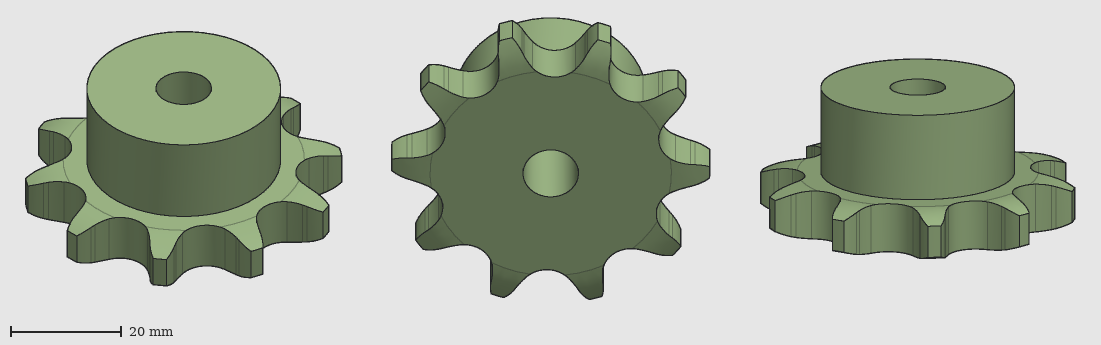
import cadquery as cq
import math


teeth = 10
outer_diameter = 57.5
chain_pitch = 15.85
roller_diameter = 10.2
seat_diameter = 10.3
plate_thickness = 9.1
hub_diameter = 35.0
total_height = 25.0
bore_diameter = 10.0
relief_diameter = 43.6
relief_depth = 1.6

working_center_factor = 0.8
topping_center_factor = 1.4

seat_angle = math.radians(35 + 60 / teeth)
working_angle = math.radians(18 - 56 / teeth)

half_step = math.pi / teeth
outer_radius = outer_diameter / 2
relief_radius = relief_diameter / 2
pitch_radius = chain_pitch / (2 * math.sin(half_step))
seat_radius = seat_diameter / 2


def polar(radius, angle):
    """Vector in the XY plane with the given length and direction."""
    return cq.Vector(radius * math.cos(angle), radius * math.sin(angle), 0)


def flank_points():
    """Right-hand flank of a gap centred on +Y, from the seat end to the tooth tip."""
    gap_center = cq.Vector(0, pitch_radius, 0)
    seat_end = gap_center + polar(seat_radius, -seat_angle)

    working_offset = working_center_factor * roller_diameter
    working_center = gap_center - polar(working_offset, -seat_angle)
    working_radius = working_offset + seat_radius
    flat_angle = working_angle - seat_angle
    working_middle = working_center + polar(working_radius, flat_angle - working_angle / 2)
    working_end = working_center + polar(working_radius, flat_angle)

    topping_center = gap_center + polar(topping_center_factor * roller_diameter, -half_step)
    normal = polar(1, flat_angle)
    topping_radius = (topping_center - working_end).dot(normal)
    flat_end = topping_center - normal * topping_radius

    center_distance = topping_center.Length
    center_angle = math.atan2(topping_center.y, topping_center.x)
    tip_offset = math.acos(
        (outer_radius**2 + center_distance**2 - topping_radius**2) / (2 * outer_radius * center_distance)
    )
    tip = polar(outer_radius, center_angle + tip_offset)
    chord_middle = (flat_end + tip) * 0.5
    topping_middle = topping_center + (chord_middle - topping_center).normalized() * topping_radius

    return seat_end, working_middle, working_end, flat_end, topping_middle, tip


def mirrored(point):
    """Point reflected across the Y axis."""
    return cq.Vector(-point.x, point.y, 0)


def tooth_gap():
    """Cutter for one gap centred on +Y, open beyond the outer circle."""
    seat_end, working_middle, working_end, flat_end, topping_middle, tip = flank_points()
    seat_bottom = cq.Vector(0, pitch_radius - seat_radius, 0)
    beyond_tips = cq.Vector(0, outer_radius + seat_radius, 0)
    return (
        cq.Workplane("XY")
        .moveTo(-tip.x, tip.y)
        .threePointArc(mirrored(topping_middle), mirrored(flat_end))
        .lineTo(-working_end.x, working_end.y)
        .threePointArc(mirrored(working_middle), mirrored(seat_end))
        .threePointArc(seat_bottom, seat_end)
        .threePointArc(working_middle, working_end)
        .lineTo(flat_end.x, flat_end.y)
        .threePointArc(topping_middle, tip)
        .threePointArc(beyond_tips, mirrored(tip))
        .close()
        .extrude(plate_thickness)
    )


def plate_blank():
    """Disc whose two faces curve inwards, tangentially, towards the rim."""
    relief_width = outer_radius - relief_radius
    curve_radius = (relief_width**2 + relief_depth**2) / (2 * relief_depth)
    half_sweep = math.asin(relief_width / curve_radius) / 2
    middle_radius = relief_radius + curve_radius * math.sin(half_sweep)
    middle_depth = curve_radius * (1 - math.cos(half_sweep))
    return (
        cq.Workplane("XZ")
        .lineTo(relief_radius, 0)
        .threePointArc((middle_radius, middle_depth), (outer_radius, relief_depth))
        .lineTo(outer_radius, plate_thickness - relief_depth)
        .threePointArc((middle_radius, plate_thickness - middle_depth), (relief_radius, plate_thickness))
        .lineTo(0, plate_thickness)
        .close()
        .revolve(360, (0, 0, 0), (0, 1, 0))
    )


sprocket = plate_blank()
gap = tooth_gap()
for index in range(teeth):
    sprocket = sprocket.cut(gap.rotate((0, 0, 0), (0, 0, 1), index * 360 / teeth))

hub = cq.Workplane("XY").circle(hub_diameter / 2).extrude(total_height)
bore = cq.Workplane("XY").circle(bore_diameter / 2).extrude(total_height)

result = sprocket.union(hub).cut(bore)